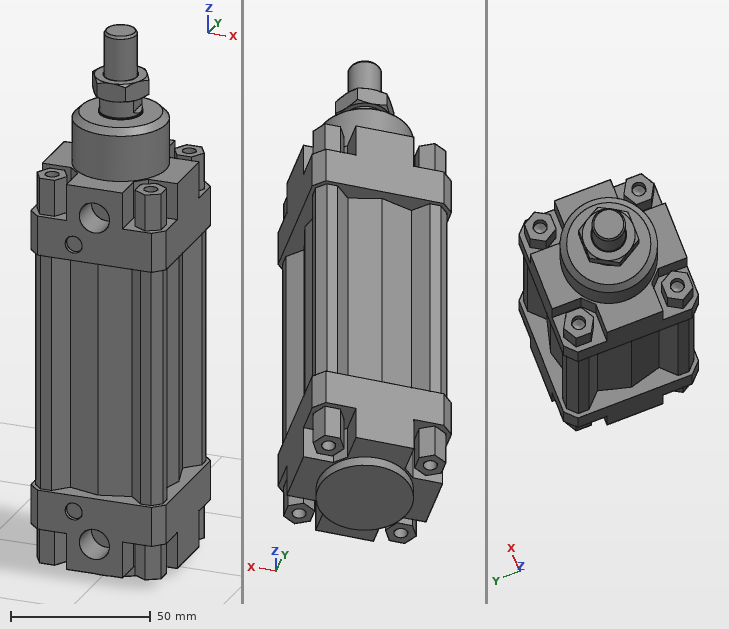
import cadquery as cq
import math

cap_width = 52.0
cap_height = 29.2
cap_corner_chamfer = 4.0
pocket_depth = 14.0
web_width = 21.6
pocket_corner_cut = 4.1

tie_rod_spacing = 38.0
tie_nut_across_flats = 10.0
socket_diameter = 5.0
socket_depth = 5.0
drill_point_angle = 118.0

port_diameter = 11.6
port_depth = 12.0
port_inset = 11.4
screw_diameter = 6.5
screw_depth = 1.5
screw_inset = 23.0
screw_offset = -8.0

barrel_length = 91.6
barrel_width = 49.0
barrel_corner_chamfer = 3.2
groove_half_width = 17.2
groove_depth = 5.3
ridge_angle = 15.0

collar_diameter = 35.0
rear_collar_height = 4.0
front_collar_height = 20.0
front_collar_chamfer = 2.4

rod_diameter = 16.0
neck_diameter = 15.5
neck_start = 0.6
rod_flat_width = 13.0
rod_flat_start = 2.2
thread_diameter = 12.0
thread_length = 24.0
thread_tip_diameter = 10.75
thread_tip_height = 1.0
nut_across_flats = 19.0
nut_height = 7.0
nut_face_diameter = 19.0
nut_chamfer_angle = 30.0
nut_countersink = 0.4

overall_length = 205.5
barrel_bottom = rear_collar_height + cap_height
barrel_top = barrel_bottom + barrel_length
front_face = barrel_top + cap_height
collar_top = front_face + front_collar_height
shoulder = overall_length - thread_length


def turned(part, quarter):
    """Copy of a part turned about Z by a number of quarter turns."""
    return part.rotate((0, 0, 0), (0, 0, 1), 90 * quarter)


def hexagon_diameter(across_flats):
    """Corner-to-corner size of a hexagon."""
    return across_flats / math.cos(math.pi / 6)


def tie_nut():
    """Hexagonal nut with a drilled socket, rising from z = 0 to the cap face."""
    nut = cq.Workplane("XY").polygon(6, hexagon_diameter(tie_nut_across_flats)).extrude(pocket_depth)
    radius = socket_diameter / 2
    cone_height = radius / math.tan(math.radians(drill_point_angle / 2))
    floor = pocket_depth - socket_depth
    socket = (
        cq.Workplane("XZ")
        .moveTo(0, floor - cone_height)
        .lineTo(radius, floor)
        .lineTo(radius, pocket_depth)
        .lineTo(0, pocket_depth)
        .close()
        .revolve(360, (0, 0, 0), (0, 1, 0))
    )
    return nut.cut(socket)


def corner_pocket():
    """Square pocket in the +X +Y corner with its inner corner bevelled."""
    inner = web_width / 2
    outer = cap_width
    return (
        cq.Workplane("XY")
        .moveTo(inner + pocket_corner_cut, inner)
        .lineTo(outer, inner)
        .lineTo(outer, outer)
        .lineTo(inner, outer)
        .lineTo(inner, inner + pocket_corner_cut)
        .close()
        .extrude(pocket_depth)
    )


def front_hole(x, z, diameter, depth):
    """Blind hole drilled into the -Y face of a cap."""
    return cq.Workplane("XZ", origin=(x, -cap_width / 2, z)).circle(diameter / 2).extrude(-depth)


def end_cap():
    """Front cap with its inner face at z = 0 and its outer face pointing up."""
    cap = (
        cq.Workplane("XY")
        .rect(cap_width, cap_width)
        .extrude(cap_height)
        .edges("|Z")
        .chamfer(cap_corner_chamfer)
    )
    pocket_floor = cap_height - pocket_depth
    pocket = corner_pocket().translate((0, 0, pocket_floor))
    nut = tie_nut().translate((tie_rod_spacing / 2, tie_rod_spacing / 2, pocket_floor))
    for quarter in range(4):
        cap = cap.cut(turned(pocket, quarter))
        cap = cap.union(turned(nut, quarter))
    cap = cap.cut(front_hole(0, cap_height - port_inset, port_diameter, port_depth))
    return cap.cut(front_hole(screw_offset, cap_height - screw_inset, screw_diameter, screw_depth))


def barrel():
    """Square tube section with a wide ridged groove along each side."""
    half = barrel_width / 2
    groove_floor_half = groove_half_width - groove_depth
    ridge_height = groove_floor_half * math.tan(math.radians(ridge_angle))
    floor = half - groove_depth
    groove = (
        cq.Workplane("XY")
        .moveTo(groove_half_width, half)
        .lineTo(groove_floor_half, floor)
        .lineTo(0, floor + ridge_height)
        .lineTo(-groove_floor_half, floor)
        .lineTo(-groove_half_width, half)
        .close()
        .extrude(barrel_length)
    )
    body = (
        cq.Workplane("XY")
        .rect(barrel_width, barrel_width)
        .extrude(barrel_length)
        .edges("|Z")
        .chamfer(barrel_corner_chamfer)
    )
    for quarter in range(4):
        body = body.cut(turned(groove, quarter))
    return body


def make_housing():
    """Barrel, both end caps and both collars, with a bore for the rod."""
    cap = end_cap()
    front_cap = cap.translate((0, 0, barrel_top))
    rear_cap = cap.mirror("XY").translate((0, 0, barrel_bottom))
    rear_collar = cq.Workplane("XY").circle(collar_diameter / 2).extrude(rear_collar_height)
    front_collar = (
        cq.Workplane("XY", origin=(0, 0, front_face))
        .circle(collar_diameter / 2)
        .extrude(front_collar_height)
        .faces(">Z")
        .chamfer(front_collar_chamfer)
    )
    rod_bore = (
        cq.Workplane("XY", origin=(0, 0, front_face))
        .circle(rod_diameter / 2)
        .extrude(front_collar_height)
    )
    body = barrel().translate((0, 0, barrel_bottom))
    for piece in (front_cap, rear_cap, rear_collar, front_collar):
        body = body.union(piece)
    return body.cut(rod_bore)


def make_rod():
    """Rod with two wrench flats and a thinner threaded end."""
    rod_radius = rod_diameter / 2
    neck_radius = neck_diameter / 2
    neck_step = rod_radius - neck_radius
    neck_bottom = collar_top + neck_start
    thread_radius = thread_diameter / 2
    rod = (
        cq.Workplane("XZ")
        .moveTo(0, front_face)
        .lineTo(rod_radius, front_face)
        .lineTo(rod_radius, neck_bottom - neck_step)
        .lineTo(neck_radius, neck_bottom)
        .lineTo(neck_radius, shoulder)
        .lineTo(thread_radius, shoulder)
        .lineTo(thread_radius, overall_length - thread_tip_height)
        .lineTo(thread_tip_diameter / 2, overall_length)
        .lineTo(0, overall_length)
        .close()
        .revolve(360, (0, 0, 0), (0, 1, 0))
    )
    flat = rod_flat_width / 2
    flat_bottom = collar_top + rod_flat_start
    flat_cut = (
        cq.Workplane("XZ")
        .moveTo(flat, shoulder)
        .lineTo(flat, flat_bottom)
        .lineTo(neck_radius, flat_bottom - (neck_radius - flat))
        .lineTo(neck_radius, shoulder)
        .close()
        .extrude(rod_radius, both=True)
    )
    return rod.cut(flat_cut).cut(flat_cut.mirror("YZ"))


def make_lock_nut():
    """Hexagonal nut with corners turned off by a cone at both ends."""
    corner_diameter = hexagon_diameter(nut_across_flats)
    hexagon = cq.Workplane("XY").polygon(6, corner_diameter).extrude(nut_height)
    turn_off = (corner_diameter - nut_face_diameter) / 2
    turn_height = turn_off * math.tan(math.radians(nut_chamfer_angle))
    turned_blank = (
        cq.Workplane("XZ")
        .moveTo(0, 0)
        .lineTo(nut_face_diameter / 2, 0)
        .lineTo(corner_diameter / 2, turn_height)
        .lineTo(corner_diameter / 2, nut_height - turn_height)
        .lineTo(nut_face_diameter / 2, nut_height)
        .lineTo(0, nut_height)
        .close()
        .revolve(360, (0, 0, 0), (0, 1, 0))
    )
    nut = hexagon.intersect(turned_blank).faces(">Z").workplane().hole(thread_diameter)
    nut = nut.faces("<Z or >Z").edges(cq.selectors.RadiusNthSelector(0)).chamfer(nut_countersink)
    return nut.translate((0, 0, shoulder))


housing = make_housing()
rod = make_rod()
lock_nut = make_lock_nut()

result = cq.Compound.makeCompound([housing.val(), rod.val(), lock_nut.val()])